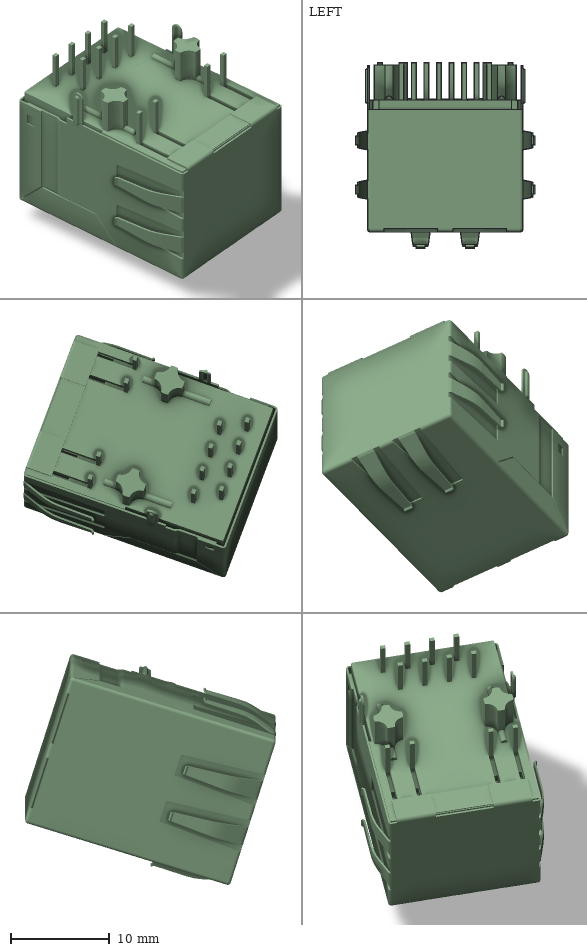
import cadquery as cq
import math

LENGTH = 21.85
WIDTH = 15.77
SHEET = 0.2
BEND_RADIUS = 0.33
SHIELD_TOP = 13.2
BACK_TOP = 12.45
BACK_STEP_X = -4.48
HALF_LENGTH = LENGTH / 2
HALF_WIDTH = WIDTH / 2
INNER_X = HALF_LENGTH - SHEET
INNER_Y = HALF_WIDTH - SHEET

REAR_FLAP_END_X = -7.9
JOG_START_X = -6.0
JOG_END_X = -5.26
JOG_ROOT_X = -5.02
LAP_START_X = -9.9
LOWER_FLAP_TOP = 3.05
LOWER_FLAP_LEFT_X = REAR_FLAP_END_X
LOWER_FLAP_RIGHT_X = -0.55
SLIT = 0.15
TOP_SLIT = 0.09
CATCH_X = -9.25
CATCH_Z = 10.65
CATCH_LENGTH = 0.96
CATCH_HEIGHT = 1.18
CATCH_RAMP_LENGTH = 0.75
CATCH_RAMP_RISE = 0.13
RELIEF_Y = 3.5
RELIEF_LENGTH = 5.45
RELIEF_TOP = 0.37
RELIEF_DEPTH = 0.4

STRIP_START_X = 8.12
STRIP_WIDTH = 14.06
STRIP_MIDDLE_WIDTH = 5.96
STRIP_MIDDLE_DROP = 0.09
STRIP_MIDDLE_END_X = 10.64
TAB_X = -3.04
TAB_WIDTH = 1.22
TAB_TOP = 16.9
BEAD_WIDTH = 0.6
BEAD_BOTTOM = 13.02
BEAD_TOP = 16.62
BEAD_RISE = 0.22
BEAD_TAPER = 35.0

FINGER_PITCH = 5.0
SIDE_FINGER_MID_Z = 6.81
SIDE_FINGER_RISE = 0.95
BOTTOM_FINGER_RISE = 1.35
FINGER_TIP_X = 2.82
HOOK_RISE = 0.185
FINGER_BEND_START_X = 6.65
FINGER_BEND_END_X = 8.78
FINGER_ROOT_DEPTH = 0.09
FINGER_TIP_WIDTH = 0.9
FINGER_ROOT_WIDTH = 1.97
WINDOW_START_X = 2.12
WINDOW_START_WIDTH = 2.27
WINDOW_END_WIDTH = 3.4

HOUSING_TOP = 13.39
HOUSING_BACK_X = -10.53
REAR_HALF_WIDTH = 7.4
REAR_END_X = 0.0
HOUSING_CHAMFER = 0.09
POST_X = 0.05
POST_Y = 5.711
POST_SIZE = 3.04
POST_TIP_WIDTH = 0.79
POST_TOP = 16.97
RIB_START_X = -4.37
RIB_END_X = 2.9
RIB_RADIUS = 0.35
RIB_LIFT = 0.07

INSERT_FRONT_X = -4.8
INSERT_WIDTH = 13.4
PIN_COUNT = 8
PIN_PITCH = 1.27
PIN_TOP = 17.2
PIN_THICKNESS = 0.41
PIN_WIDTH = 0.5
REAR_PIN_X = -8.82
PIN_ROW_GAP = 2 * PIN_PITCH

PLATE_START_X = -0.22
PLATE_WIDTH = 4.52
PLATE_DEPTH = 2.18

LED_Y = 5.35
LED_START_X = 1.75
LED_BOTTOM = 8.55
LED_TOP = 11.85
LED_INNER_Y = 3.71
LEAD_X = 4.095
LEAD_RUN_END_X = 6.46
LEAD_RUN_TOP = 12.73
LEAD_BEND_RADIUS = 0.26
GROOVE_START_X = LEAD_X - PIN_THICKNESS / 2
LEDGE_WIDTH = 0.09


def box(x_range, y_range, z_range):
    """Box between two X, two Y and two Z values."""
    size = [end - start for start, end in (x_range, y_range, z_range)]
    return cq.Workplane("XY").box(*size, centered=False).translate((x_range[0], y_range[0], z_range[0]))


def both_sides(shape):
    """The shape and its mirror image across the XZ plane."""
    return [shape, shape.mirror("XZ")]


def side_prism(outline, y_inner, y_outer):
    """Prism on the +Y side with an (X, Z) outline."""
    prism = cq.Workplane("XZ").polyline(outline).close().extrude(-(y_outer - y_inner))
    return prism.translate((0, y_inner, 0))


def taper_plan(start_x, start_width, end_x, end_width):
    """Outline in X and Z that widens toward the front."""
    return [
        (start_x, -start_width / 2),
        (end_x, -end_width / 2),
        (end_x, end_width / 2),
        (start_x, start_width / 2),
    ]


def finger_window():
    plan = taper_plan(WINDOW_START_X, WINDOW_START_WIDTH, HALF_LENGTH, WINDOW_END_WIDTH)
    window = side_prism(plan, -SHEET, 0)
    return window.edges("|Y and <X").fillet(SHEET)


def finger(rise):
    straight_length = INNER_X - FINGER_BEND_END_X
    bend_half = (FINGER_BEND_END_X - FINGER_BEND_START_X) / 2
    bend_drop = (rise + FINGER_ROOT_DEPTH) * bend_half / (bend_half + straight_length)
    upper = rise + SHEET / 2
    lower = rise - SHEET / 2
    hook_set = SHEET / math.sqrt(2)
    hook_upper_x = FINGER_TIP_X + hook_set + HOOK_RISE
    hook_lower_x = FINGER_TIP_X - hook_set + HOOK_RISE + SHEET
    bend_length = 2 * bend_half
    radius = (bend_length**2 + bend_drop**2) / (2 * bend_drop)
    mid_x = FINGER_BEND_START_X + bend_half
    mid_drop = radius - math.sqrt(radius**2 - bend_half**2)
    strip = (
        cq.Workplane("XY")
        .moveTo(FINGER_TIP_X + hook_set, upper + HOOK_RISE)
        .lineTo(hook_upper_x, upper)
        .lineTo(FINGER_BEND_START_X, upper)
        .threePointArc((mid_x, upper - mid_drop), (FINGER_BEND_END_X, upper - bend_drop))
        .lineTo(INNER_X, SHEET / 2 - FINGER_ROOT_DEPTH)
        .lineTo(HALF_LENGTH, -SHEET)
        .lineTo(INNER_X, -SHEET)
        .lineTo(FINGER_BEND_END_X, lower - bend_drop)
        .threePointArc((mid_x, lower - mid_drop), (FINGER_BEND_START_X, lower))
        .lineTo(hook_lower_x, lower)
        .lineTo(FINGER_TIP_X, upper + HOOK_RISE - hook_set)
        .close()
        .extrude(FINGER_ROOT_WIDTH, both=True)
    )
    plan = taper_plan(FINGER_TIP_X, FINGER_TIP_WIDTH, HALF_LENGTH, FINGER_ROOT_WIDTH)
    return strip.intersect(side_prism(plan, -rise, 2 * rise))


def placed_on_walls(side_shape, bottom_shape):
    """Copies of wall shapes at each finger place: two on each side and two on the bottom."""
    copies = []
    for offset in (-FINGER_PITCH / 2, FINGER_PITCH / 2):
        copies += both_sides(side_shape.translate((0, HALF_WIDTH, SIDE_FINGER_MID_Z + offset)))
        copies.append(bottom_shape.rotate((0, 0, 0), (1, 0, 0), -90).translate((0, offset, 0)))
    return copies


def lower_flap_slit():
    """Narrow slit around the trapezoid flap that is folded up from the bottom."""
    height = LOWER_FLAP_TOP - BEND_RADIUS
    slant = SLIT * math.sqrt(2)
    inner_top = LOWER_FLAP_TOP - TOP_SLIT
    left, right = LOWER_FLAP_LEFT_X, LOWER_FLAP_RIGHT_X
    outer = [
        (left - height, BEND_RADIUS),
        (left, LOWER_FLAP_TOP),
        (right, LOWER_FLAP_TOP),
        (right + height, BEND_RADIUS),
    ]
    inner = [
        (left - height + slant, BEND_RADIUS),
        (left + slant - TOP_SLIT, inner_top),
        (right - slant + TOP_SLIT, inner_top),
        (right + height - slant, BEND_RADIUS),
    ]
    return side_prism(outer, INNER_Y, HALF_WIDTH).cut(side_prism(inner, INNER_Y, HALF_WIDTH))


def jogged_wall():
    """Wall strip that jogs inward by one sheet thickness and runs under the rear flap."""
    jog_mid_x = (JOG_START_X + JOG_END_X) / 2
    lap_inner = INNER_Y - SHEET
    half_step = SHEET / 2
    strip = (
        cq.Workplane("XY")
        .moveTo(LAP_START_X, lap_inner)
        .lineTo(JOG_START_X, lap_inner)
        .tangentArcPoint((jog_mid_x, lap_inner + half_step), relative=False)
        .tangentArcPoint((JOG_END_X, INNER_Y), relative=False)
        .lineTo(JOG_ROOT_X, INNER_Y)
        .lineTo(JOG_ROOT_X, HALF_WIDTH)
        .lineTo(JOG_END_X, HALF_WIDTH)
        .tangentArcPoint((jog_mid_x, INNER_Y + half_step), relative=False)
        .tangentArcPoint((JOG_START_X, INNER_Y), relative=False)
        .lineTo(LAP_START_X, INNER_Y)
        .close()
        .extrude(BACK_TOP - LOWER_FLAP_TOP)
    )
    return strip.translate((0, 0, LOWER_FLAP_TOP))


def catch_window():
    x_range = (CATCH_X - CATCH_LENGTH / 2, CATCH_X + CATCH_LENGTH / 2)
    z_range = (CATCH_Z - CATCH_HEIGHT / 2, CATCH_Z + CATCH_HEIGHT / 2)
    return box(x_range, (INNER_Y, HALF_WIDTH), z_range)


def catch_ramp():
    """Sloped catch on the lapped strip that sits in the catch window."""
    end_x = CATCH_X + CATCH_LENGTH / 2 - SHEET / 2
    start_x = end_x - CATCH_RAMP_LENGTH
    ramp = (
        cq.Workplane("XY")
        .polyline([(start_x, INNER_Y), (end_x, INNER_Y), (end_x, INNER_Y + CATCH_RAMP_RISE)])
        .close()
        .extrude(CATCH_HEIGHT)
    )
    return ramp.translate((0, 0, CATCH_Z - CATCH_HEIGHT / 2))


def bead():
    """Tapered bead, pressed outward through the ground tab; its shape also forms the hollow behind."""
    return (
        cq.Workplane("XZ")
        .center(TAB_X, (BEAD_BOTTOM + BEAD_TOP) / 2)
        .slot2D(BEAD_TOP - BEAD_BOTTOM, BEAD_WIDTH, 90)
        .extrude(-BEAD_RISE, taper=BEAD_TAPER)
    )


def ground_tab():
    """Round-ended solder tab that stands on the side wall, with a raised bead."""
    radius = TAB_WIDTH / 2
    straight_top = TAB_TOP - radius
    tab = box((TAB_X - radius, TAB_X + radius), (INNER_Y, HALF_WIDTH), (SHIELD_TOP, straight_top))
    end = cq.Workplane("XZ").center(TAB_X, straight_top).circle(radius).extrude(-SHEET)
    tab = tab.union(end.translate((0, INNER_Y, 0)))
    return tab.union(bead().translate((0, HALF_WIDTH, 0)))


def front_strip():
    """Strip that folds from the front wall over the housing; its middle is lower and has no bend."""
    half = STRIP_WIDTH / 2
    cover = box((STRIP_START_X, HALF_LENGTH), (-half, half), (HOUSING_TOP, HOUSING_TOP + SHEET))
    rise = box((INNER_X, HALF_LENGTH), (-half, half), (SHIELD_TOP - BEND_RADIUS, HOUSING_TOP))
    strip = cover.union(rise).edges("|Y and >X and >Z").fillet(BEND_RADIUS)
    half_middle = STRIP_MIDDLE_WIDTH / 2
    middle_y = (-half_middle, half_middle)
    top_z = HOUSING_TOP + SHEET
    recess = box((STRIP_START_X, HALF_LENGTH), middle_y, (top_z - STRIP_MIDDLE_DROP, top_z))
    notch = box((STRIP_MIDDLE_END_X, HALF_LENGTH), middle_y, (SHIELD_TOP, top_z))
    return strip.cut(recess).cut(notch)


def make_shield():
    x_range, y_range = (-HALF_LENGTH, HALF_LENGTH), (-HALF_WIDTH, HALF_WIDTH)
    shell = box(x_range, y_range, (0, SHIELD_TOP))
    shell = shell.edges("|Z or <Z").fillet(BEND_RADIUS)
    shell = shell.cut(box((-INNER_X, INNER_X), (-INNER_Y, INNER_Y), (SHEET, SHIELD_TOP)))
    shell = shell.cut(box((-HALF_LENGTH, BACK_STEP_X), y_range, (BACK_TOP, SHIELD_TOP)))
    gap = box((REAR_FLAP_END_X, JOG_END_X), (INNER_Y, HALF_WIDTH), (LOWER_FLAP_TOP, BACK_TOP))
    for opening in (gap, catch_window(), lower_flap_slit()):
        for cutter in both_sides(opening):
            shell = shell.cut(cutter)
    for middle in (-RELIEF_Y, RELIEF_Y):
        half = RELIEF_LENGTH / 2
        notch_x = (-HALF_LENGTH, -HALF_LENGTH + RELIEF_DEPTH)
        shell = shell.cut(box(notch_x, (middle - half, middle + half), (0, RELIEF_TOP)))
    for window in placed_on_walls(finger_window(), finger_window()):
        shell = shell.cut(window)
    for addition in (jogged_wall(), catch_ramp(), ground_tab()):
        for piece in both_sides(addition):
            shell = shell.union(piece)
    for hollow in both_sides(bead().translate((0, INNER_Y, 0))):
        shell = shell.cut(hollow)
    for spring in placed_on_walls(finger(SIDE_FINGER_RISE), finger(BOTTOM_FINGER_RISE)):
        shell = shell.union(spring)
    return shell.union(front_strip())


def insert_block():
    """Block that fills the rear middle of the housing."""
    half = INSERT_WIDTH / 2
    return box((HOUSING_BACK_X, INSERT_FRONT_X), (-half, half), (SHEET, HOUSING_TOP))


def pin(x, y, bottom, top):
    half_x, half_y = PIN_THICKNESS / 2, PIN_WIDTH / 2
    return box((x - half_x, x + half_x), (y - half_y, y + half_y), (bottom, top))


def make_insert():
    insert = insert_block()
    for index in range(PIN_COUNT):
        y = (index - (PIN_COUNT - 1) / 2) * PIN_PITCH
        x = REAR_PIN_X + (index % 2) * PIN_ROW_GAP
        insert = insert.union(pin(x, y, HOUSING_TOP, PIN_TOP))
    return insert


def make_centre_plate():
    half = PLATE_WIDTH / 2
    return box((PLATE_START_X, INNER_X), (-half, half), (HOUSING_TOP - PLATE_DEPTH, HOUSING_TOP))


def led_block():
    return box((LED_START_X, INNER_X), (LED_INNER_Y, INNER_Y), (LED_BOTTOM, LED_TOP))


def lead(y):
    """Lead that runs rearward along the LED top and bends upward into a pin."""
    y_range = (y - PIN_WIDTH / 2, y + PIN_WIDTH / 2)
    run = box((LEAD_X, LEAD_RUN_END_X), y_range, (LED_TOP, LEAD_RUN_TOP))
    return pin(LEAD_X, y, LED_TOP, PIN_TOP).union(run)


def make_led():
    led = led_block()
    for y in (LED_Y - PIN_PITCH, LED_Y + PIN_PITCH):
        led = led.union(lead(y))
    bend_x = LEAD_X + PIN_THICKNESS / 2
    size = LEAD_BEND_RADIUS
    corner = cq.selectors.BoxSelector(
        (bend_x - size, LED_INNER_Y, LEAD_RUN_TOP - size), (bend_x + size, INNER_Y, LEAD_RUN_TOP + size)
    )
    return led.edges("|Y").edges(corner).fillet(LEAD_BEND_RADIUS)


def lead_groove(direction):
    """Groove over one lead; a low ledge past the lead lines its wall away from the LED middle."""
    y = LED_Y + direction * PIN_PITCH
    near_y = y - direction * PIN_WIDTH / 2
    far_y = y + direction * PIN_WIDTH / 2
    ledge_y = far_y - direction * LEDGE_WIDTH
    groove = box((GROOVE_START_X, INNER_X), sorted((near_y, far_y)), (LED_TOP, HOUSING_TOP))
    ledge = box((LEAD_RUN_END_X, INNER_X), sorted((ledge_y, far_y)), (LED_TOP, LEAD_RUN_TOP))
    return groove.cut(ledge)


def post():
    """Locating post: a round bar with four round scoops around it."""
    scoop_radius = (POST_SIZE - POST_TIP_WIDTH) / 2
    height = POST_TOP - HOUSING_TOP
    body = cq.Workplane("XY").circle(POST_SIZE / 2).extrude(height)
    scoops = cq.Workplane("XY").rect(POST_SIZE, POST_SIZE, forConstruction=True).vertices()
    body = body.cut(scoops.circle(scoop_radius).extrude(height))
    return body.translate((POST_X, POST_Y, HOUSING_TOP))


def standoff_rib():
    """Half-round rib along X on each side of the post."""
    length = RIB_END_X - RIB_START_X
    rod = cq.Workplane("YZ").circle(RIB_RADIUS).extrude(length)
    return rod.translate((RIB_START_X, POST_Y, HOUSING_TOP + RIB_LIFT))


def make_housing():
    z_range = (SHEET, HOUSING_TOP)
    rear_y, front_y = (-REAR_HALF_WIDTH, REAR_HALF_WIDTH), (-INNER_Y, INNER_Y)
    housing = box((HOUSING_BACK_X, REAR_END_X), rear_y, z_range)
    housing = housing.edges("|Z and <X").chamfer(HOUSING_CHAMFER)
    housing = housing.union(box((REAR_END_X, INNER_X), front_y, z_range))
    for addition in (standoff_rib(), post()):
        for piece in both_sides(addition):
            housing = housing.union(piece)
    housing = housing.cut(insert_block()).cut(make_centre_plate())
    for pocket in (led_block(), lead_groove(-1), lead_groove(1)):
        for cutter in both_sides(pocket):
            housing = housing.cut(cutter)
    return housing


shield = make_shield()
housing = make_housing()
insert = make_insert()
centre_plate = make_centre_plate()
leds = both_sides(make_led())

result = cq.Compound.makeCompound(
    [shield.val(), housing.val(), insert.val(), centre_plate.val(), *[led.val() for led in leds]]
)